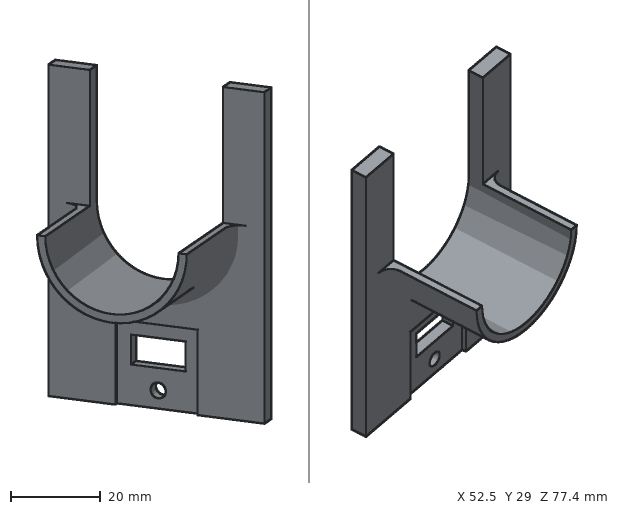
import cadquery as cq

plate_width = 52.5
plate_height = 77.4
plate_thickness = 4.0

total_depth = 29.0
cradle_axis_height = 45.65
cradle_inner_radius = 16.2
cradle_wall = 2.0
cradle_outer_radius = cradle_inner_radius + cradle_wall
root_fillet_radius = 3.5

recess_size = 20.0
recess_depth = 1.0

window_width = 13.2
window_height = 7.0
window_center_height = 13.0
hole_diameter = 3.6
hole_center_height = 4.25


def block(width, depth, height, back_y, bottom_z):
    """Box centred on X, reaching from back_y toward -Y and from bottom_z upward."""
    return (
        cq.Workplane("XY")
        .box(width, depth, height, centered=(True, False, False))
        .translate((0, back_y - depth, bottom_z))
    )


def cylinder(radius, center_z):
    """Cylinder along Y through the full depth of the part."""
    return cq.Workplane("XZ").center(0, center_z).circle(radius).extrude(total_depth)


def half_round_cradle():
    """Lower half of a round boss, flaring into the plate with a concave root fillet."""
    flare_radius = cradle_outer_radius + root_fillet_radius
    fillet_end = plate_thickness + root_fillet_radius
    fillet_mid = root_fillet_radius * (1 - 0.5 ** 0.5)
    profile = (
        cq.Workplane("XY")
        .lineTo(flare_radius, 0)
        .lineTo(flare_radius, -plate_thickness)
        .threePointArc(
            (cradle_outer_radius + fillet_mid, -plate_thickness - fillet_mid),
            (cradle_outer_radius, -fillet_end),
        )
        .lineTo(cradle_outer_radius, -total_depth)
        .lineTo(0, -total_depth)
        .close()
    )
    return profile.revolve(180, (0, 0, 0), (0, 1, 0)).translate((0, 0, cradle_axis_height))


plate = block(plate_width, plate_thickness, plate_height, 0, 0)
body = plate.union(half_round_cradle())

bore = cylinder(cradle_inner_radius, cradle_axis_height)
slot = block(
    2 * cradle_inner_radius, total_depth, plate_height - cradle_axis_height, 0, cradle_axis_height
)
body = body.cut(bore).cut(slot)

recess = block(recess_size, recess_depth, recess_size, recess_depth - plate_thickness, 0)
window = block(
    window_width, plate_thickness, window_height, 0, window_center_height - window_height / 2
)
screw_hole = cylinder(hole_diameter / 2, hole_center_height)

result = body.cut(recess).cut(window).cut(screw_hole)